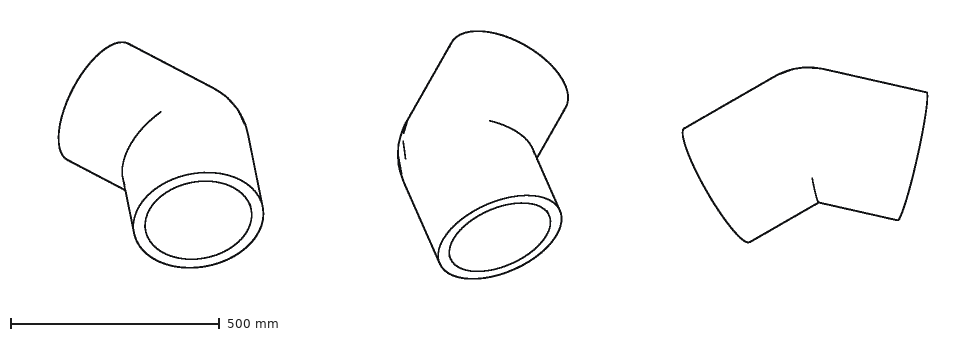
import cadquery as cq
import math

overall_length = 548.5
outer_radius = 157.5
wall = 28.5
bend_angle = 45.0

bore_radius = outer_radius - wall
bend = math.radians(bend_angle)
arm_length = (overall_length - outer_radius * math.sin(bend)) / (1 + math.cos(bend))


def arm(radius, direction):
    """Cylinder from the corner point, at the origin, along an arm axis."""
    return cq.Workplane(cq.Solid.makeCylinder(radius, arm_length, cq.Vector(0, 0, 0), direction))


def corner(radius):
    """Spherical wedge filling the gap on the outside of the bend."""
    return (
        cq.Workplane("YZ")
        .moveTo(0, -radius)
        .threePointArc((radius, 0), (0, radius))
        .close()
        .revolve(bend_angle, (0, 0), (0, -1))
    )


def elbow(radius):
    """Solid elbow of the given radius."""
    straight_arm = arm(radius, cq.Vector(-1, 0, 0))
    angled_arm = arm(radius, cq.Vector(math.cos(bend), -math.sin(bend), 0))
    return straight_arm.union(angled_arm).union(corner(radius))


result = elbow(outer_radius).cut(elbow(bore_radius))